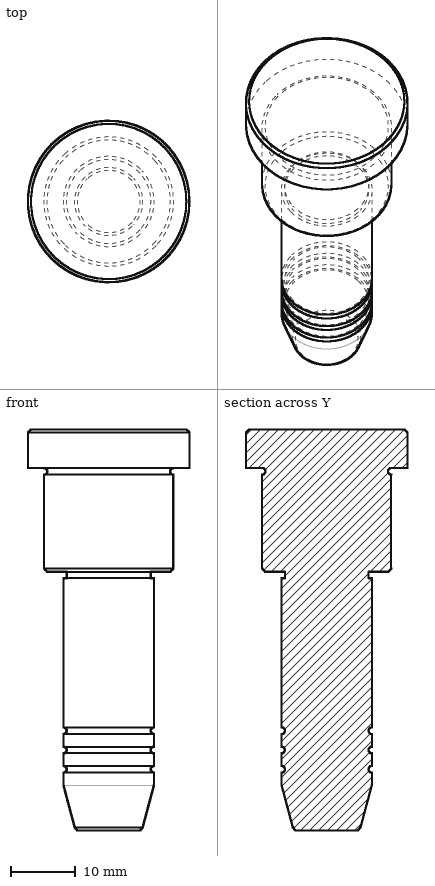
import cadquery as cq
import math

total_length = 62.0
edge_chamfer = 0.5

head_diameter = 25.0
head_height = 6.0

body_diameter = 20.0
body_length = 16.0

neck_diameter = 13.0
neck_length = 1.0

shank_diameter = 14.0
taper_length = 7.0
taper_angle = 15.0
tip_chamfer_height = 0.5
tip_chamfer_inset = 0.45

groove_radius = 0.5
groove_count = 3
groove_pitch = 3.0
lowest_groove_above_taper = 2.5

head_bottom = total_length - head_height
body_bottom = head_bottom - body_length
shank_top = body_bottom - neck_length


def cylinder(diameter, bottom, top):
    """Cylinder on the Z axis between two levels."""
    return cq.Workplane("XY").workplane(offset=bottom).circle(diameter / 2).extrude(top - bottom)


def revolve_profile(points):
    """Turn a closed (radius, z) outline about the Z axis."""
    return cq.Workplane("XZ").polyline(points).close().revolve(360, (0, 0), (0, 1))


def tapered_tip():
    """Cone below the shank, with a broken edge at its end face."""
    shank_radius = shank_diameter / 2
    cone_drop = taper_length - tip_chamfer_height
    cone_end_radius = shank_radius - cone_drop * math.tan(math.radians(taper_angle))
    return revolve_profile([
        (0, 0),
        (cone_end_radius - tip_chamfer_inset, 0),
        (cone_end_radius, tip_chamfer_height),
        (shank_radius, taper_length),
        (0, taper_length),
    ])


def round_groove(diameter, center_z):
    """Ring cutter for a semicircular groove around a cylinder of the given diameter."""
    section = cq.Workplane("XZ").center(diameter / 2, center_z).circle(groove_radius)
    return section.revolve(360, (-diameter / 2, 0), (-diameter / 2, 1))


head = cylinder(head_diameter, head_bottom, total_length).faces(">Z").chamfer(edge_chamfer)
body = cylinder(body_diameter, body_bottom, head_bottom).faces("<Z").chamfer(edge_chamfer)
neck = cylinder(neck_diameter, shank_top, body_bottom)
shank = cylinder(shank_diameter, taper_length, shank_top)

result = head.union(body).union(neck).union(shank).union(tapered_tip())

result = result.cut(round_groove(body_diameter, head_bottom - groove_radius))

for index in range(groove_count):
    groove_z = taper_length + lowest_groove_above_taper + index * groove_pitch
    result = result.cut(round_groove(shank_diameter, groove_z))